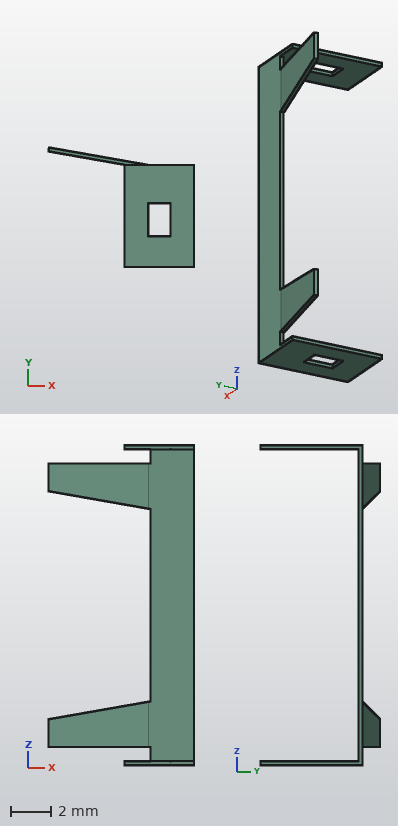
import cadquery as cq
import math

height = 15.95
overall_width = 7.27
overall_depth = 5.97
sheet = 0.2

plate_width = 3.48
plate_depth = 5.09
window_width = 1.1
window_depth = 1.63
window_back_gap = 1.91

strip_width = 2.19

arm_angle = 10.0
fold_gap = 0.1
arm_end_gap = 0.91
arm_root_height = 2.28
arm_tip_height = 1.39
arm_rise = overall_depth - plate_depth

half_height = height / 2
arm_sine = math.sin(math.radians(arm_angle))
arm_cosine = math.cos(math.radians(arm_angle))


def end_plate(bottom):
    """Flat plate with a rectangular window, reaching forward from the strip."""
    plate = cq.Workplane("XY").box(plate_width, plate_depth, sheet, centered=False)
    plate = plate.translate((-plate_width, -plate_depth, bottom))
    window = (
        cq.Workplane("XY")
        .box(window_width, window_depth, sheet, centered=(True, False, False))
        .translate((-plate_width / 2, -window_back_gap - window_depth, bottom))
    )
    return plate.cut(window)


def upright_strip():
    """Flat vertical sheet joining the back edges of both end plates."""
    strip = cq.Workplane("XY").box(strip_width, sheet, height, centered=(False, False, True))
    return strip.translate((-strip_width, -sheet, 0))


def upper_arm():
    """Bent sheet section, trimmed to a profile that tapers towards the tip."""
    tip_back = (-overall_width + sheet * arm_sine, arm_rise)
    tip_front = (-overall_width, arm_rise - sheet * arm_cosine)
    fold_x = -strip_width - fold_gap
    fold_front = (fold_x, -sheet)
    fold_back = (fold_x + sheet * math.tan(math.radians(arm_angle / 2)), 0)
    root_front = (-strip_width, -sheet)
    root_back = (-strip_width, 0)
    section = (
        cq.Workplane("XY")
        .polyline([tip_back, tip_front, fold_front, root_front, root_back, fold_back])
        .close()
        .extrude(half_height)
    )
    top = half_height - arm_end_gap
    profile = (
        cq.Workplane("XZ")
        .polyline([
            (-overall_width, top),
            (-strip_width, top),
            (-strip_width, top - arm_root_height),
            (-overall_width, top - arm_tip_height),
        ])
        .close()
        .extrude(overall_depth, both=True)
    )
    return section.intersect(profile)


arm = upper_arm()
result = (
    upright_strip()
    .union(end_plate(half_height - sheet))
    .union(end_plate(-half_height))
    .union(arm)
    .union(arm.mirror("XY"))
)